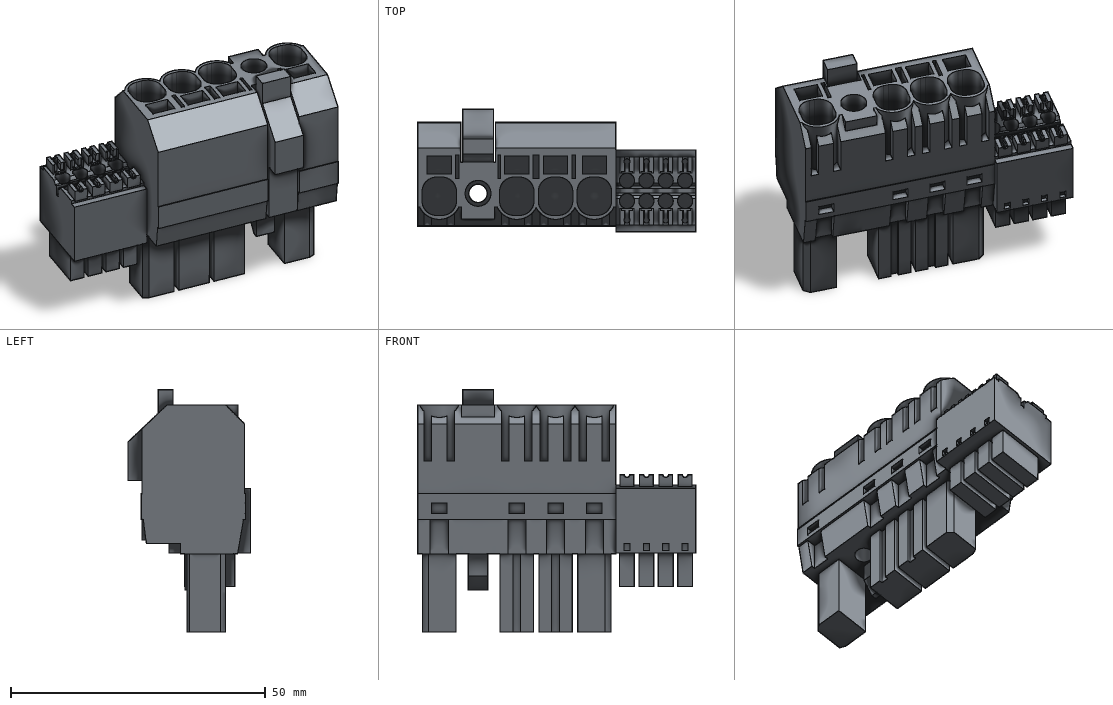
import cadquery as cq


POWER_LENGTH = 38.94
POLE_PITCH = 7.62
MIDDLE_POLE_X = POWER_LENGTH / 2
FIRST_POLE_X = MIDDLE_POLE_X - 2 * POLE_PITCH
LATCH_POLE_X = FIRST_POLE_X + POLE_PITCH
POWER_POLES = [FIRST_POLE_X] + [MIDDLE_POLE_X + i * POLE_PITCH for i in range(3)]

BODY_FRONT, BODY_BACK = 1.19, 21.37
POWER_TOP = 44.69
FRONT_SLOPE_Y, FRONT_SLOPE_Z = 4.9, 40.97
BACK_SLOPE_Y, BACK_SLOPE_Z = 16.42, 40.0
BACK_FALL = (POWER_TOP - BACK_SLOPE_Z) / (BODY_BACK - BACK_SLOPE_Y)

BELT_FRONT, BELT_BACK = 1.02, 21.53
BELT_BOTTOM, BELT_TOP = 22.18, 27.26
POWER_BOTTOM = 15.41
STEP_Y, STEP_Z = 13.79, 17.44
TAPER_FRONT, TAPER_FRONT_END = 1.4, 2.57
TAPER_BACK, TAPER_BACK_END = 21.1, 20.5

ENTRY_Y = 6.98
ENTRY_WIDTH, ENTRY_LENGTH, ENTRY_CORNER, ENTRY_DEPTH = 6.8, 7.55, 2.9, 20.0
COLLAR_Y, COLLAR_RADIUS = 6.75, 4.31
SLOT_SPAN, SLOT_BOTTOM = 6.05, 33.69
TAB_WIDTH = 3.05
RELEASE_WIDTH, RELEASE_FRONT, RELEASE_BACK, RELEASE_DEPTH = 4.74, 11.34, 14.9, 12.0
WINDOW_BOTTOM, WINDOW_TOP, WINDOW_DEPTH = 23.36, 25.39, 1.5
PANEL_WIDTH, PANEL_Y = 3.55, 3.35
TEST_SLOTS = [(7.45, 0.68), (15.74, 0.51), (22.68, 1.19), (30.3, 0.68)]
TEST_SLOT_FRONT, TEST_SLOT_BACK, TEST_SLOT_DEPTH = 10.5, 15.07, 5.0

PLUG_WIDTH, PLUG_FRONT, PLUG_BACK = 6.6, 4.91, 12.53
PLUG_CORNER_X, PLUG_CORNER_FRONT, PLUG_CORNER_BACK = 1.18, 1.02, 0.51
GROOVE_WIDTH, GROOVE_DEPTH = 1.52, 0.65

SCREW_Y, SCREW_RADIUS, SCREW_HEAD_RADIUS, SCREW_HEAD_DEPTH = 7.55, 1.78, 2.54, 20.0
BRIDGE_WIDTH, BRIDGE_FRONT, BRIDGE_BOTTOM = 6.44, 2.5, 42.32
PEG_WIDTH, PEG_FRONT, PEG_BACK, PEG_BOTTOM = 3.89, 9.6, 12.92, 8.3
PEG_SLOPE_TOP, PEG_TIP_FRONT = 11.09, 11.8
CHANNEL_WIDTH, CHANNEL_FRONT = 6.78, 13.71
LATCH_WIDTH, LATCH_BOTTOM, LATCH_TOP = 6.1, 18.11, 47.7
LATCH_SHELF_Z, HANDLE_FRONT, HANDLE_BACK = 42.0, 15.24, 18.2
GRIP_BACK, GRIP_BOTTOM = 24.13, 29.8

TOTAL_LENGTH = 54.65
SIGNAL_WIDTH = 16.08
SIGNAL_MID_Y = SIGNAL_WIDTH / 2
SIGNAL_BOTTOM, LEDGE_Z, SIGNAL_TOP = 15.57, 28.27, 28.95
LEDGE_WIDTH = 1.35
SIGNAL_PITCH = POLE_PITCH / 2
FIRST_SIGNAL_X = 41.13
SIGNAL_POLES = [FIRST_SIGNAL_X + i * SIGNAL_PITCH for i in range(4)]
ROW_SIDES = (-1, 1)

VALLEY_HALF, VALLEY_FLOOR_HALF, VALLEY_DEPTH = 1.5, 0.95, 0.7
GUTTER_WIDTH, GUTTER_DEPTH = 0.84, 2.0
WIRE_OFFSET, WIRE_RADIUS, WIRE_DEPTH = 2.0, 1.48, 9.0
SIGNAL_PLUG_WIDTH, SIGNAL_PLUG_HALF, SIGNAL_PLUG_BOTTOM = 2.95, 4.95, 8.97
SIGNAL_WINDOW, SIGNAL_WINDOW_DEPTH, SIGNAL_WINDOW_BOTTOM, SIGNAL_WINDOW_TOP = 1.19, 0.8, 16.08, 17.44

BUTTON_WIDTH, BUTTON_TOP = 2.75, 30.98
BUTTON_OUTER = SIGNAL_MID_Y - LEDGE_WIDTH
BUTTON_INNER = 3.47
BUTTON_BOTTOM = 28.61
NOTCH_WIDTH, NOTCH_LENGTH, NOTCH_DEPTH = 2.1, 0.34, 1.7
DRIVER_RADIUS, DRIVER_HOLE_RADIUS, DRIVER_HOLE_OFFSET = 0.52, 0.58, 5.75
DRIVER_SLOT_WIDTH, DRIVER_SLOT_DEPTH = 0.7, 1.7


def block(x, y, z):
    """Box given by its (low, high) limits on each axis."""
    size = [high - low for low, high in (x, y, z)]
    return cq.Workplane("XY").box(*size, centered=False).translate((x[0], y[0], z[0]))


def about(middle, width):
    return (middle - width / 2, middle + width / 2)


def extrude_x(points, x):
    """Extrude a (Y, Z) outline between two X limits."""
    return cq.Workplane("YZ").polyline(points).close().extrude(x[1] - x[0]).translate((x[0], 0, 0))


def cylinder(x, y, radius, z):
    return cq.Workplane("XY").center(x, y).circle(radius).extrude(z[1] - z[0]).translate((0, 0, z[0]))


def row_span(side, inner, outer):
    """Y limits of something in one signal row, from its distances to the middle."""
    ends = (SIGNAL_MID_Y + side * inner, SIGNAL_MID_Y + side * outer)
    return (min(ends), max(ends))


def power_body():
    outline = [
        (TAPER_FRONT_END, POWER_BOTTOM),
        (STEP_Y, POWER_BOTTOM),
        (STEP_Y, STEP_Z),
        (TAPER_BACK_END, STEP_Z),
        (TAPER_BACK, BELT_BOTTOM),
        (BELT_BACK, BELT_BOTTOM),
        (BELT_BACK, BELT_TOP),
        (BODY_BACK, BELT_TOP),
        (BODY_BACK, BACK_SLOPE_Z),
        (BACK_SLOPE_Y, POWER_TOP),
        (FRONT_SLOPE_Y, POWER_TOP),
        (BODY_FRONT, FRONT_SLOPE_Z),
        (BODY_FRONT, BELT_TOP),
        (BELT_FRONT, BELT_TOP),
        (BELT_FRONT, BELT_BOTTOM),
        (TAPER_FRONT, BELT_BOTTOM),
    ]
    return extrude_x(outline, (0, POWER_LENGTH))


def entry_collar(x):
    """Round wall of a cable entry, kept within its own pole place."""
    height = (SLOT_BOTTOM, POWER_TOP)
    limits = block(about(x, POLE_PITCH), (0, BODY_BACK), height)
    return cylinder(x, COLLAR_Y, COLLAR_RADIUS, height).intersect(limits)


def entry_bore(x):
    """Cable opening, a rectangle with large round corners."""
    height = (POWER_TOP - ENTRY_DEPTH, POWER_TOP)
    bore = block(about(x, ENTRY_WIDTH), about(ENTRY_Y, ENTRY_LENGTH), height)
    return bore.edges("|Z").fillet(ENTRY_CORNER)


def entry_slots(x):
    """Two upright slots in the front wall that leave a tab between them, open as far as the entry."""
    depth = (BELT_FRONT, ENTRY_Y)
    height = (SLOT_BOTTOM, POWER_TOP)
    return block(about(x, SLOT_SPAN), depth, height).cut(block(about(x, TAB_WIDTH), depth, height))


def pole_recesses(x):
    """Release opening on top, window in the belt and upright panel under the belt."""
    release = block(
        about(x, RELEASE_WIDTH), (RELEASE_FRONT, RELEASE_BACK), (POWER_TOP - RELEASE_DEPTH, POWER_TOP)
    )
    window = block(
        about(x, TAB_WIDTH), (BELT_FRONT, BELT_FRONT + WINDOW_DEPTH), (WINDOW_BOTTOM, WINDOW_TOP)
    )
    panel = block(about(x, PANEL_WIDTH), (BELT_FRONT, PANEL_Y), (POWER_BOTTOM, BELT_BOTTOM))
    return release, window, panel


def power_plug(x):
    """Plug under a pole; the outer poles have cut outer corners, the others a front groove."""
    half = PLUG_WIDTH / 2
    height = (0, POWER_BOTTOM)
    plug = block(about(x, PLUG_WIDTH), (PLUG_FRONT, PLUG_BACK), height)
    if x not in (POWER_POLES[0], POWER_POLES[-1]):
        return plug.cut(block(about(x, GROOVE_WIDTH), (PLUG_FRONT, PLUG_FRONT + GROOVE_DEPTH), height))
    outward = -1 if x == POWER_POLES[0] else 1
    edge = x + outward * half
    shoulder = edge - outward * PLUG_CORNER_X
    for corner, inner in (
        (PLUG_FRONT, PLUG_FRONT + PLUG_CORNER_FRONT),
        (PLUG_BACK, PLUG_BACK - PLUG_CORNER_BACK),
    ):
        wedge = cq.Workplane("XY").polyline([(edge, corner), (shoulder, corner), (edge, inner)]).close()
        plug = plug.cut(wedge.extrude(POWER_BOTTOM))
    return plug


def coding_peg():
    outline = [
        (PEG_FRONT, POWER_BOTTOM),
        (PEG_FRONT, PEG_SLOPE_TOP),
        (PEG_TIP_FRONT, PEG_BOTTOM),
        (PEG_BACK, PEG_BOTTOM),
        (PEG_BACK, POWER_BOTTOM),
    ]
    return extrude_x(outline, about(LATCH_POLE_X, PEG_WIDTH))


def power_section():
    body = power_body()
    for x in POWER_POLES:
        body = body.cut(entry_slots(x)).union(entry_collar(x))
    body = body.union(
        block(about(LATCH_POLE_X, BRIDGE_WIDTH), (BRIDGE_FRONT, ENTRY_Y), (BRIDGE_BOTTOM, POWER_TOP))
    )
    for x in POWER_POLES:
        body = body.cut(entry_bore(x))
        for recess in pole_recesses(x):
            body = body.cut(recess)
        body = body.union(power_plug(x))
    for left, width in TEST_SLOTS:
        body = body.cut(
            block(
                (left, left + width),
                (TEST_SLOT_FRONT, TEST_SLOT_BACK),
                (POWER_TOP - TEST_SLOT_DEPTH, POWER_TOP),
            )
        )
    body = body.union(coding_peg())
    body = body.cut(cylinder(LATCH_POLE_X, SCREW_Y, SCREW_RADIUS, (0, POWER_TOP)))
    body = body.cut(
        cylinder(LATCH_POLE_X, SCREW_Y, SCREW_HEAD_RADIUS, (POWER_TOP - SCREW_HEAD_DEPTH, POWER_TOP))
    )
    return body.cut(block(about(LATCH_POLE_X, CHANNEL_WIDTH), (CHANNEL_FRONT, BELT_BACK), (0, POWER_TOP)))


def signal_valley():
    """Trough with sloped sides between the two rows of wire holes, with a gutter in its floor."""
    length = (POWER_LENGTH, TOTAL_LENGTH)
    floor = SIGNAL_TOP - VALLEY_DEPTH
    outline = [
        (SIGNAL_MID_Y - VALLEY_HALF, SIGNAL_TOP),
        (SIGNAL_MID_Y - VALLEY_FLOOR_HALF, floor),
        (SIGNAL_MID_Y + VALLEY_FLOOR_HALF, floor),
        (SIGNAL_MID_Y + VALLEY_HALF, SIGNAL_TOP),
    ]
    gutter = block(length, about(SIGNAL_MID_Y, GUTTER_WIDTH), (floor - GUTTER_DEPTH, SIGNAL_TOP))
    return extrude_x(outline, length).union(gutter)


def signal_section():
    length = (POWER_LENGTH, TOTAL_LENGTH)
    body = block(length, (0, SIGNAL_WIDTH), (SIGNAL_BOTTOM, LEDGE_Z))
    raised = (LEDGE_WIDTH, SIGNAL_WIDTH - LEDGE_WIDTH)
    body = body.union(block(length, raised, (SIGNAL_BOTTOM, SIGNAL_TOP)))
    body = body.cut(signal_valley())
    for x in SIGNAL_POLES:
        for side in ROW_SIDES:
            wire_y = SIGNAL_MID_Y + side * WIRE_OFFSET
            body = body.cut(cylinder(x, wire_y, WIRE_RADIUS, (SIGNAL_TOP - WIRE_DEPTH, SIGNAL_TOP)))
            pocket = row_span(side, BUTTON_INNER, BUTTON_OUTER)
            body = body.cut(block(about(x, BUTTON_WIDTH), pocket, (BUTTON_BOTTOM, SIGNAL_TOP)))
        body = body.cut(
            block(
                about(x, SIGNAL_WINDOW),
                (0, SIGNAL_WINDOW_DEPTH),
                (SIGNAL_WINDOW_BOTTOM, SIGNAL_WINDOW_TOP),
            )
        )
        plug_y = about(SIGNAL_MID_Y, 2 * SIGNAL_PLUG_HALF)
        body = body.union(
            block(about(x, SIGNAL_PLUG_WIDTH), plug_y, (SIGNAL_PLUG_BOTTOM, SIGNAL_BOTTOM))
        )
    return body


def make_latch():
    def slope_z(y):
        return POWER_TOP - BACK_FALL * (y - BACK_SLOPE_Y)

    outline = [
        (CHANNEL_FRONT, LATCH_BOTTOM),
        (BODY_BACK, LATCH_BOTTOM),
        (BODY_BACK, GRIP_BOTTOM),
        (GRIP_BACK, GRIP_BOTTOM),
        (GRIP_BACK, slope_z(GRIP_BACK)),
        (HANDLE_BACK, slope_z(HANDLE_BACK)),
        (HANDLE_BACK, LATCH_TOP),
        (HANDLE_FRONT, LATCH_TOP),
        (HANDLE_FRONT, LATCH_SHELF_Z),
        (CHANNEL_FRONT, LATCH_SHELF_Z),
    ]
    return extrude_x(outline, about(LATCH_POLE_X, LATCH_WIDTH))


def make_button(x, side):
    span = row_span(side, BUTTON_INNER, BUTTON_OUTER)
    button = block(about(x, BUTTON_WIDTH), span, (BUTTON_BOTTOM, BUTTON_TOP))
    groove = cq.Workplane("XZ").center(x, BUTTON_TOP).circle(DRIVER_RADIUS).extrude(-SIGNAL_WIDTH)
    slot_height = (BUTTON_TOP - DRIVER_SLOT_DEPTH, BUTTON_TOP)
    slot = block(
        about(x, DRIVER_SLOT_WIDTH), row_span(side, BUTTON_INNER, DRIVER_HOLE_OFFSET), slot_height
    )
    notch = block(
        about(x, NOTCH_WIDTH),
        row_span(side, BUTTON_INNER, BUTTON_INNER + NOTCH_LENGTH),
        (BUTTON_TOP - NOTCH_DEPTH, BUTTON_TOP),
    )
    hole_y = SIGNAL_MID_Y + side * DRIVER_HOLE_OFFSET
    hole = cylinder(x, hole_y, DRIVER_HOLE_RADIUS, slot_height)
    return button.cut(groove).cut(slot).cut(notch).cut(hole)


housing = power_section().union(signal_section())
latch = make_latch()
buttons = [make_button(x, side) for x in SIGNAL_POLES for side in ROW_SIDES]

result = cq.Compound.makeCompound([housing.val(), latch.val(), *[button.val() for button in buttons]])